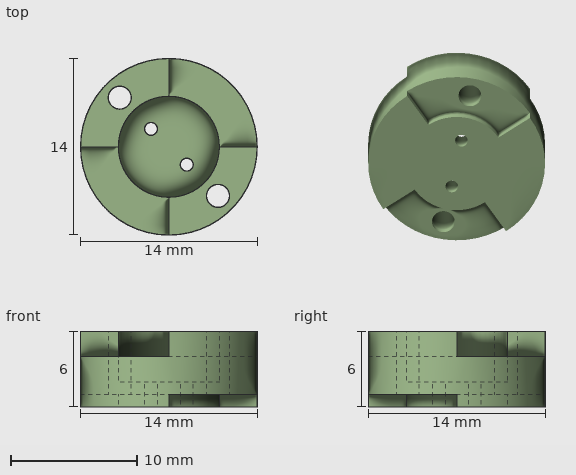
import cadquery as cq
import math

outer_diameter = 14.0
height = 6.0

bore_diameter = 8.0
floor_top = 2.0

top_step_depth = 2.0
bottom_step_depth = 1.0

hole_diagonal_angle = 135.0
rim_hole_diameter = 1.8
rim_hole_radius = 5.5
floor_hole_diameter = 1.0
floor_hole_radius = 2.0

outer_radius = outer_diameter / 2


def cylinder(diameter, bottom, top):
    """Cylinder on the Z axis between two heights."""
    return cq.Workplane("XY").workplane(offset=bottom).circle(diameter / 2).extrude(top - bottom)


def quadrant_block(x_sign, y_sign, bottom, top):
    """Block covering one quadrant of the part between two heights."""
    return (
        cq.Workplane("XY")
        .workplane(offset=bottom)
        .center(x_sign * outer_radius / 2, y_sign * outer_radius / 2)
        .rect(outer_radius, outer_radius)
        .extrude(top - bottom)
    )


def diagonal_holes(diameter, pitch_radius):
    """Pair of through holes on opposite sides of the axis."""
    angle = math.radians(hole_diagonal_angle)
    x = pitch_radius * math.cos(angle)
    y = pitch_radius * math.sin(angle)
    return cq.Workplane("XY").pushPoints([(x, y), (-x, -y)]).circle(diameter / 2).extrude(height)


body = cylinder(outer_diameter, 0, height).cut(cylinder(bore_diameter, floor_top, height))

for side in (1, -1):
    body = body.cut(quadrant_block(side, side, height - top_step_depth, height))
    bottom_step = quadrant_block(side, -side, 0, bottom_step_depth)
    body = body.cut(bottom_step.cut(cylinder(bore_diameter, 0, bottom_step_depth)))

body = body.cut(diagonal_holes(rim_hole_diameter, rim_hole_radius))
result = body.cut(diagonal_holes(floor_hole_diameter, floor_hole_radius))